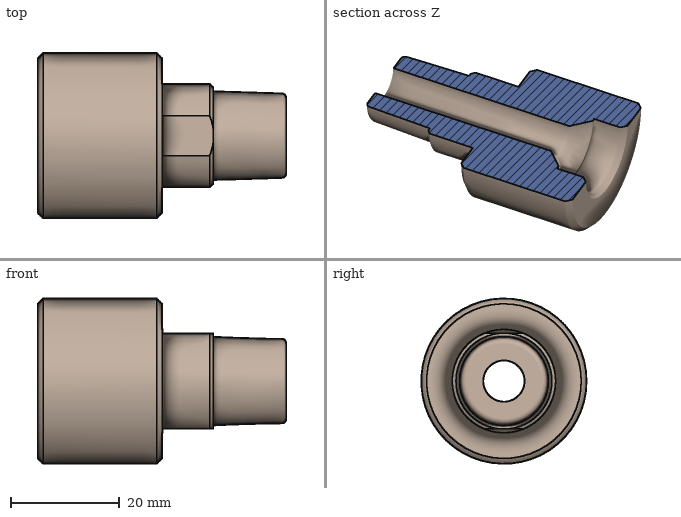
import cadquery as cq

total_length = 45.75
body_length = 22.9
neck_end = 32.35
collar_length = 0.2

body_diameter = 30.5
neck_diameter = 19.05
taper_start_diameter = 16.4
taper_end_diameter = 15.55
width_across_flats = 17.58

body_chamfer = 1.0
neck_chamfer = 0.7
tip_round = 0.85

bore_diameter = 15.25
bore_mouth_chamfer = 1.0
bore_depth = 6.35
seat_diameter = 14.0
through_diameter = 7.55
seat_depth = (seat_diameter - through_diameter) / 2


def cylinder_along_x(start, length, diameter):
    return cq.Workplane("YZ", origin=(start, 0, 0)).circle(diameter / 2).extrude(length)


def cone_along_x(start, end, start_diameter, end_diameter):
    profile = [
        (start, 0),
        (start, start_diameter / 2),
        (end, end_diameter / 2),
        (end, 0),
    ]
    return cq.Workplane("XY").polyline(profile).close().revolve(360, (0, 0, 0), (1, 0, 0))


def make_body():
    return cylinder_along_x(0, body_length, body_diameter).edges().chamfer(body_chamfer)


def make_neck():
    """Round neck with two wrench flats, facing up and down."""
    neck = cylinder_along_x(body_length, neck_end - body_length, neck_diameter)
    neck = neck.faces(">X").edges().chamfer(neck_chamfer)

    flats_start = body_length + collar_length
    flats_length = neck_end - flats_start
    flats_limit = cq.Workplane("XY").box(
        flats_length, neck_diameter, width_across_flats, centered=(False, True, True)
    )
    flats_limit = flats_limit.translate((flats_start, 0, 0))
    collar_limit = cylinder_along_x(body_length, collar_length, neck_diameter)
    return neck.intersect(flats_limit.union(collar_limit))


def make_taper():
    taper = cone_along_x(neck_end, total_length, taper_start_diameter, taper_end_diameter)
    return taper.faces(">X").edges().fillet(tip_round)


def make_bore():
    seat_end = bore_depth + seat_depth
    mouth_diameter = bore_diameter + 2 * bore_mouth_chamfer
    mouth = cone_along_x(0, bore_mouth_chamfer, mouth_diameter, bore_diameter)
    bore = cylinder_along_x(0, bore_depth, bore_diameter)
    seat = cone_along_x(bore_depth, seat_end, seat_diameter, through_diameter)
    through_hole = cylinder_along_x(0, total_length, through_diameter)
    return mouth.union(bore).union(seat).union(through_hole)


result = make_body().union(make_neck()).union(make_taper()).cut(make_bore())